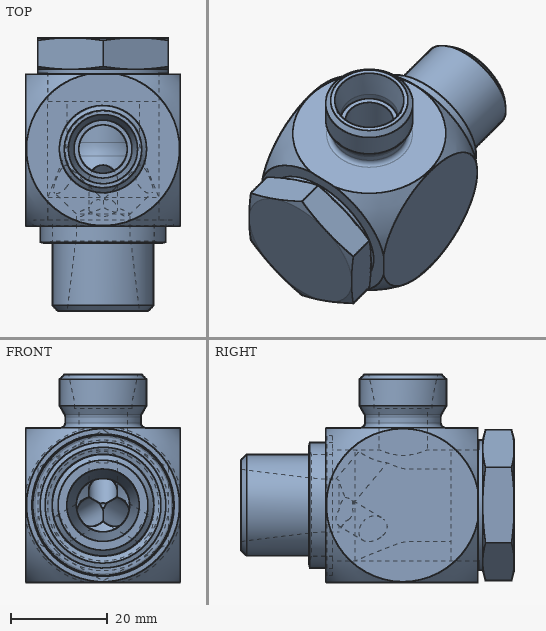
import cadquery as cq
import math

total_length = 56.5
front_end = -33.5
rear_end = front_end + total_length

block_width = 32.0
block_front = -16.0
block_rear = 15.5
ball_radius = 22.5
half_width = block_width / 2
bolt_bore_diameter = 23.0

recess_diameter = 29.0
recess_depth = 1.4
recess_chamfer = 0.2
recess_fillet = 0.35

overall_height = 43.0
stub_length = overall_height - block_width
stub_diameter = 18.0
stub_neck_diameter = 15.7
stub_chamfer = 1.0
collar_length = 6.45
neck_fillet = 1.0
collar_cone_angle = math.radians(30)
stub_bore_diameter = 10.0
tube_socket_diameter = 12.0
tube_socket_depth = 7.0
socket_mouth_diameter = 14.3
socket_cone_angle = math.radians(12)

ring_diameter = 26.0
ring_bore_diameter = 21.1
ring_edge_diameter = 23.95
ring_front = -19.5
ring_bevel = 0.3
ring_countersink_angle = math.radians(70)

thread_diameter = 20.95
thread_chamfer = 1.2
shank_diameter = 22.95
head_width = 27.0
head_length = 6.5
washer_face_length = 0.9
head_chamfer_angle = math.radians(15)
bolt_hole_diameter = 11.0
bolt_hole_tip = -10.0
drill_angle = math.radians(59)
bolt_mouth_diameter = 15.0
bolt_mouth_angle = math.radians(7)
waist_diameter = 15.0
waist_fillet = 7.3
waist_angle = math.radians(22)
port_diameter = 6.0
port_count = 3
port_tilt = 40.0
port_origin = -14.6


def turned_about_y(points):
    """Solid of revolution about Y from (radius, y) points."""
    return cq.Workplane("XY").polyline(points).close().revolve(360, (0, 0), (0, 1))


def make_stub():
    """Stub outside, standing on the top face of the block, about the Z axis."""
    top = half_width + stub_length
    stub_radius = stub_diameter / 2
    neck_radius = stub_neck_diameter / 2
    collar_bottom = top - collar_length
    cone_end_radius = neck_radius + neck_fillet * (1 - math.cos(collar_cone_angle))
    cone_end = collar_bottom - (stub_radius - cone_end_radius) / math.tan(collar_cone_angle)
    neck_top = cone_end - neck_fillet * math.sin(collar_cone_angle)
    half_angle = collar_cone_angle / 2
    upper_mid = (
        neck_radius + neck_fillet * (1 - math.cos(half_angle)),
        neck_top + neck_fillet * math.sin(half_angle),
    )
    foot_mid = (
        neck_radius + neck_fillet * (1 - math.sqrt(0.5)),
        half_width + neck_fillet * (1 - math.sqrt(0.5)),
    )
    return (
        cq.Workplane("XZ")
        .moveTo(0, top)
        .lineTo(stub_radius - stub_chamfer, top)
        .lineTo(stub_radius, top - stub_chamfer)
        .lineTo(stub_radius, collar_bottom)
        .lineTo(cone_end_radius, cone_end)
        .threePointArc(upper_mid, (neck_radius, neck_top))
        .lineTo(neck_radius, half_width + neck_fillet)
        .threePointArc(foot_mid, (neck_radius + neck_fillet, half_width))
        .lineTo(0, half_width)
        .close()
        .revolve(360, (0, 0), (0, 1))
    )


def make_stub_bore():
    """Through bore, tube socket and conical mouth of the stub, down to the bolt bore."""
    top = half_width + stub_length
    socket_radius = tube_socket_diameter / 2
    mouth_radius = socket_mouth_diameter / 2
    cone_depth = (mouth_radius - socket_radius) / math.tan(socket_cone_angle)
    points = [
        (0, 0),
        (stub_bore_diameter / 2, 0),
        (stub_bore_diameter / 2, top - tube_socket_depth),
        (socket_radius, top - tube_socket_depth),
        (socket_radius, top - cone_depth),
        (mouth_radius, top),
        (0, top),
    ]
    return cq.Workplane("XZ").polyline(points).close().revolve(360, (0, 0), (0, 1))


def make_recess():
    """Round recess with a chamfered mouth and a filleted floor."""
    floor = block_front + recess_depth
    recess = cq.Workplane("XZ", origin=(0, floor, 0)).circle(recess_diameter / 2).extrude(recess_depth)
    recess = recess.faces(">Y").edges().fillet(recess_fillet)
    mouth_radius = recess_diameter / 2 + recess_chamfer
    mouth = turned_about_y([
        (0, block_front),
        (mouth_radius, block_front),
        (mouth_radius - recess_chamfer, block_front + recess_chamfer),
        (0, block_front + recess_chamfer),
    ])
    return recess.union(mouth)


def make_housing():
    block_length = block_rear - block_front
    block_middle = (block_rear + block_front) / 2
    block = cq.Workplane("XY").box(block_width, block_length, block_width)
    block = block.translate((0, block_middle, 0)).intersect(cq.Workplane("XY").sphere(ball_radius))
    bolt_bore = (
        cq.Workplane("XZ", origin=(0, block_rear, 0)).circle(bolt_bore_diameter / 2).extrude(block_length)
    )
    return block.union(make_stub()).cut(bolt_bore).cut(make_stub_bore()).cut(make_recess())


def make_ring():
    ring_radius = ring_diameter / 2
    edge_radius = ring_edge_diameter / 2
    bore_radius = ring_bore_diameter / 2
    ring_rear = block_front + recess_depth
    countersink_depth = (edge_radius - bore_radius) / math.tan(ring_countersink_angle)
    return turned_about_y([
        (bore_radius, ring_rear),
        (ring_radius, ring_rear),
        (ring_radius, ring_front + ring_bevel),
        (edge_radius, ring_front),
        (bore_radius, ring_front + countersink_depth),
    ])


def make_head():
    """Hexagon head with its corners chamfered at both ends."""
    head_front = rear_end - head_length
    corner_diameter = head_width / math.cos(math.pi / 6)
    hexagon = (
        cq.Workplane("XZ", origin=(0, rear_end, 0))
        .polygon(6, corner_diameter)
        .extrude(head_length)
        .rotate((0, 0, 0), (0, 1, 0), 30)
    )
    rim_radius = corner_diameter / 2
    flat_radius = head_width / 2
    rim_drop = (rim_radius - flat_radius) * math.tan(head_chamfer_angle)
    envelope = turned_about_y([
        (0, head_front),
        (flat_radius, head_front),
        (rim_radius, head_front + rim_drop),
        (rim_radius, rear_end - rim_drop),
        (flat_radius, rear_end),
        (0, rear_end),
    ])
    return hexagon.intersect(envelope)


def make_shank():
    """Threaded end, shank and the round washer face under the head."""
    head_front = rear_end - head_length
    washer_face = head_front - washer_face_length
    shoulder = block_front + recess_depth
    shank_radius = shank_diameter / 2
    thread_radius = thread_diameter / 2
    return turned_about_y([
        (0, front_end),
        (thread_radius - thread_chamfer, front_end),
        (thread_radius, front_end + thread_chamfer),
        (thread_radius, shoulder),
        (shank_radius, shoulder),
        (shank_radius, washer_face),
        (head_width / 2, washer_face),
        (head_width / 2, head_front),
        (0, head_front),
    ])


def make_waist():
    """Relief round the shank below the stub: a cylinder, blended into a cone at its front."""
    waist_radius = waist_diameter / 2
    shank_radius = shank_diameter / 2
    blend_length = waist_fillet * math.sin(waist_angle)
    blend_rise = waist_fillet * (1 - math.cos(waist_angle))
    blend_rear = blend_length / 2
    blend_mid = (
        waist_radius + waist_fillet * (1 - math.cos(waist_angle / 2)),
        blend_rear - waist_fillet * math.sin(waist_angle / 2),
    )
    blend_end = (waist_radius + blend_rise, -blend_length / 2)
    cone_length = (shank_radius - blend_end[0]) / math.tan(waist_angle)
    waist_end = blend_length / 2 + cone_length
    return (
        cq.Workplane("XY")
        .moveTo(shank_radius, waist_end)
        .lineTo(waist_radius, waist_end)
        .lineTo(waist_radius, blend_rear)
        .threePointArc(blend_mid, blend_end)
        .lineTo(shank_radius, -waist_end)
        .close()
        .revolve(360, (0, 0), (0, 1))
    )


def make_bolt_hole():
    """Blind hole from the front end, with a tapered mouth and a drill-point bottom."""
    hole_radius = bolt_hole_diameter / 2
    mouth_radius = bolt_mouth_diameter / 2
    mouth_depth = (mouth_radius - hole_radius) / math.tan(bolt_mouth_angle)
    return turned_about_y([
        (0, front_end),
        (mouth_radius, front_end),
        (hole_radius, front_end + mouth_depth),
        (hole_radius, bolt_hole_tip - hole_radius / math.tan(drill_angle)),
        (0, bolt_hole_tip),
    ])


def make_port(turn):
    """Slanted port from the bolt axis out to the waist, turned about the bolt axis."""
    return (
        cq.Workplane("XY")
        .circle(port_diameter / 2)
        .extrude(block_width)
        .rotate((0, 0, 0), (1, 0, 0), -port_tilt)
        .translate((0, port_origin, 0))
        .rotate((0, 0, 0), (0, 1, 0), turn)
    )


def make_bolt():
    bolt = make_head().union(make_shank()).cut(make_waist()).cut(make_bolt_hole())
    for index in range(port_count):
        bolt = bolt.cut(make_port(index * 360 / port_count))
    return bolt


housing = make_housing()
ring = make_ring()
bolt = make_bolt()

result = cq.Compound.makeCompound([housing.val(), ring.val(), bolt.val()])